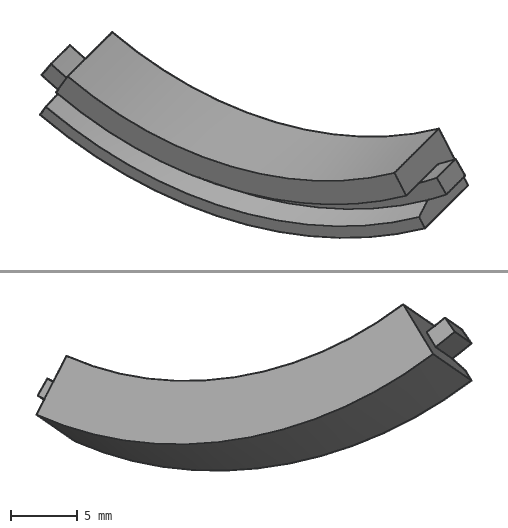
import cadquery as cq
import math

inner_radius = 28.0
outer_radius = 33.0
half_angle = 30
width = 7.0

groove_inner_radius = 30.0
groove_outer_radius = 31.5
groove_mouth_radius = 32.0
groove_depth = 2.0
lip_setback = 0.2

length = 34.7
tongue_width = 3.0
tongue_half_angle = math.degrees(math.asin(length / 2 / groove_outer_radius))

front = -width / 2
groove_floor = front + groove_depth
lip_front = front + lip_setback


def revolve_arc(section, angle):
    """Revolve a (radius, y) section about Y, by the angle each side of straight down."""
    return (
        cq.Workplane("XY")
        .polyline(section)
        .close()
        .revolve(2 * angle, (0, 0, 0), (0, 1, 0))
        .rotate((0, 0, 0), (0, 1, 0), 90 - angle)
    )


body_section = [
    (inner_radius, -front),
    (inner_radius, front),
    (groove_inner_radius, front),
    (groove_inner_radius, groove_floor),
    (groove_outer_radius, groove_floor),
    (groove_mouth_radius, lip_front),
    (outer_radius, lip_front),
    (outer_radius, -front),
]

tongue_section = [
    (groove_inner_radius, groove_floor),
    (groove_outer_radius, groove_floor),
    (groove_outer_radius, groove_floor + tongue_width),
    (groove_inner_radius, groove_floor + tongue_width),
]

body = revolve_arc(body_section, half_angle)
tongue = revolve_arc(tongue_section, tongue_half_angle)
result = body.union(tongue)